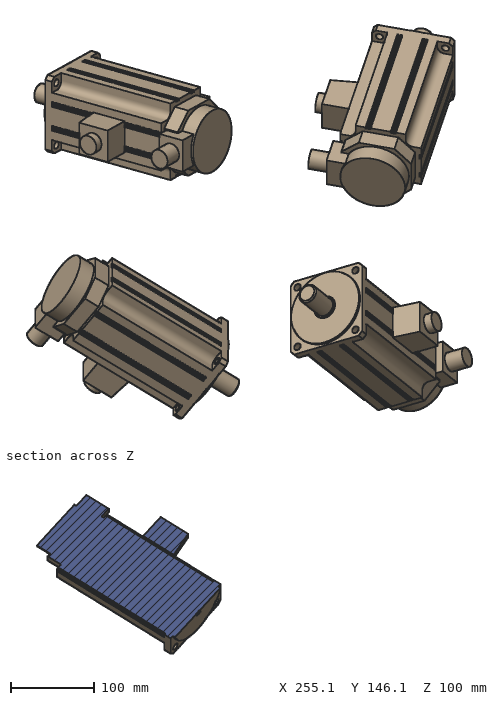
import cadquery as cq


shaft_diameter = 24.0
shaft_length = 40.0
shaft_chamfer_length = 1.5
shaft_chamfer_depth = 2.0
collar_diameter = 28.3
collar_length = 1.5

pilot_diameter = 94.9
pilot_height = 3.0
flange_size = 100.0
flange_thickness = 10.0
flange_corner_chamfer = 4.8
bolt_spacing = 81.3
bolt_hole_diameter = 9.0

body_length = 160.6
corner_notch = 19.0
corner_notch_radius = 9.2
groove_offsets = (13.5, 17.5)
groove_width = 2.0
groove_depth = 2.0

plate_thickness = 20.0
plate_half_width = 42.5
plate_connector_side = 43.5
plate_flat_half_width = 22.0

cap_diameter = 80.0
cap_length = 20.0

box_height = 40.8
connector_diameter = 24.0

terminal_box_center = 96.1
terminal_box_width = 41.5
terminal_box_taper = 4.5
terminal_box_reach = 85.5
terminal_connector_reach = 96.1

encoder_box_width = 34.0
encoder_box_reach = 57.6
encoder_connector_reach = 81.5

half_flange = flange_size / 2
body_start = flange_thickness
body_end = body_start + body_length
plate_end = body_end + plate_thickness


def cylinder_x(diameter, start, length):
    return cq.Workplane("YZ", origin=(start, 0, 0)).circle(diameter / 2).extrude(length)


def make_shaft():
    """Shaft with a chamfered tip and a collar that rests on the pilot."""
    shaft_radius = shaft_diameter / 2
    collar_radius = collar_diameter / 2
    collar_end = -pilot_height
    collar_start = collar_end - collar_length
    tip = collar_start - shaft_length
    return (
        cq.Workplane("XY")
        .moveTo(tip, 0)
        .lineTo(tip, shaft_radius - shaft_chamfer_depth)
        .lineTo(tip + shaft_chamfer_length, shaft_radius)
        .lineTo(collar_start, shaft_radius)
        .lineTo(collar_start, collar_radius)
        .lineTo(collar_end, collar_radius)
        .lineTo(collar_end, 0)
        .close()
        .revolve(360, (0, 0, 0), (1, 0, 0))
    )


def make_flange():
    """Square flange with cut corners, four bolt holes and a round pilot."""
    flange = (
        cq.Workplane("YZ")
        .rect(flange_size, flange_size)
        .extrude(flange_thickness)
        .edges("|X")
        .chamfer(flange_corner_chamfer)
    )
    bolt_holes = (
        cq.Workplane("YZ")
        .rect(bolt_spacing, bolt_spacing, forConstruction=True)
        .vertices()
        .circle(bolt_hole_diameter / 2)
        .extrude(flange_thickness)
    )
    pilot = cylinder_x(pilot_diameter, -pilot_height, pilot_height)
    return flange.cut(bolt_holes).union(pilot)


def make_corner_notches():
    """Four square notches along the body corners, each with a rounded inner corner."""
    notch = (
        cq.Workplane("YZ", origin=(body_start, 0, 0))
        .center(half_flange - corner_notch / 2, half_flange - corner_notch / 2)
        .rect(corner_notch, corner_notch)
        .extrude(body_length)
        .edges("|X and <Y and <Z")
        .fillet(corner_notch_radius)
    )
    notches = cq.Workplane("YZ")
    for corner in range(4):
        notches = notches.add(notch.rotate((0, 0, 0), (1, 0, 0), 90 * corner))
    return notches.combine()


def make_grooves():
    """Two pairs of narrow lengthwise grooves on each of the four body sides."""
    centers = []
    for offset in groove_offsets:
        centers.append((offset, half_flange - groove_depth / 2))
        centers.append((-offset, half_flange - groove_depth / 2))
    side_grooves = (
        cq.Workplane("YZ", origin=(body_start, 0, 0))
        .pushPoints(centers)
        .rect(groove_width, groove_depth)
        .extrude(body_length)
    )
    grooves = cq.Workplane("YZ")
    for side in range(4):
        turned = side_grooves.rotate((0, 0, 0), (1, 0, 0), 90 * side)
        grooves = grooves.add(turned)
    return grooves.combine()


def make_body():
    block = (
        cq.Workplane("YZ", origin=(body_start, 0, 0))
        .rect(flange_size, flange_size)
        .extrude(body_length)
    )
    return block.cut(make_corner_notches()).cut(make_grooves())


def make_rear_plate():
    return (
        cq.Workplane("YZ", origin=(body_end, 0, 0))
        .polyline([
            (plate_half_width, -plate_flat_half_width),
            (plate_half_width, plate_flat_half_width),
            (plate_flat_half_width, plate_half_width),
            (-plate_flat_half_width, plate_half_width),
            (-plate_connector_side, plate_flat_half_width),
            (-plate_connector_side, -plate_flat_half_width),
            (-plate_flat_half_width, -plate_half_width),
            (plate_flat_half_width, -plate_half_width),
        ])
        .close()
        .extrude(plate_thickness)
    )


def make_connector_box(center_x, width, taper, base_y, box_reach, connector_reach):
    """Box growing toward -Y with a round connector; its -X side is wider by taper at the base."""
    left = center_x - width / 2
    right = center_x + width / 2
    box = (
        cq.Workplane("XY")
        .polyline([(left - taper, base_y), (right, base_y), (right, -box_reach), (left, -box_reach)])
        .close()
        .extrude(box_height / 2, both=True)
    )
    connector = (
        cq.Workplane("XZ", origin=(center_x, -box_reach, 0))
        .circle(connector_diameter / 2)
        .extrude(connector_reach - box_reach)
    )
    return box.union(connector)


def make_housing():
    """Flange, body, rear plate, encoder cap and both connector boxes as one solid."""
    cap = cylinder_x(cap_diameter, plate_end, cap_length)
    terminal_box = make_connector_box(
        terminal_box_center, terminal_box_width, terminal_box_taper,
        -half_flange, terminal_box_reach, terminal_connector_reach,
    )
    encoder_box = make_connector_box(
        plate_end, encoder_box_width, 0,
        0, encoder_box_reach, encoder_connector_reach,
    )
    housing = make_flange()
    for section in (make_body(), make_rear_plate(), cap, terminal_box, encoder_box):
        housing = housing.union(section)
    return housing


shaft = make_shaft()
housing = make_housing()

result = cq.Compound.makeCompound([housing.val(), shaft.val()])